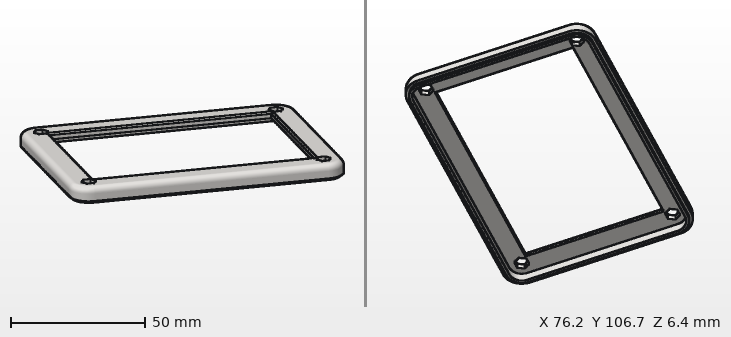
import cadquery as cq

width = 76.2
length = 106.7
height = 6.4
corner_radius = 7.6
top_round = 2.5

step_height = 1.1
step_inset = 1.3

wall = 2.5
cavity_depth = height - wall

border = 10.1
window_chamfer = 0.7

hole_across_corners = 5.5
hole_rotation = 30.0


def rounded_plate(inset, bottom, thickness):
    """Plate inset from the outer outline, keeping the same corner centres."""
    return (
        cq.Workplane("XY", origin=(0, 0, bottom))
        .rect(width - 2 * inset, length - 2 * inset)
        .extrude(thickness)
        .edges("|Z")
        .fillet(corner_radius - inset)
    )


def window_cutter():
    """Rectangular opening with a bevel that widens it at the top face."""
    opening_x = width - 2 * border
    opening_y = length - 2 * border
    opening = cq.Workplane("XY").rect(opening_x, opening_y).extrude(height)
    bevel = (
        cq.Workplane("XY", origin=(0, 0, height - window_chamfer))
        .rect(opening_x, opening_y)
        .workplane(offset=window_chamfer)
        .rect(opening_x + 2 * window_chamfer, opening_y + 2 * window_chamfer)
        .loft(ruled=True)
    )
    return opening.union(bevel)


def hexagon_prism():
    """Hexagonal prism at the origin with two corners pointing along Y."""
    prism = cq.Workplane("XY").polygon(6, hole_across_corners).extrude(height)
    return prism.rotate((0, 0, 0), (0, 0, 1), hole_rotation).val()


def corner_holes():
    """Hexagonal cutters at the four corner centres."""
    return (
        cq.Workplane("XY")
        .rect(width - 2 * corner_radius, length - 2 * corner_radius, forConstruction=True)
        .vertices()
        .eachpoint(hexagon_prism())
    )


body = rounded_plate(0, step_height, height - step_height).faces(">Z").edges().fillet(top_round)
rim = rounded_plate(step_inset, 0, step_height)
cavity = rounded_plate(wall, 0, cavity_depth)
result = body.union(rim).cut(cavity).cut(window_cutter()).cut(corner_holes())